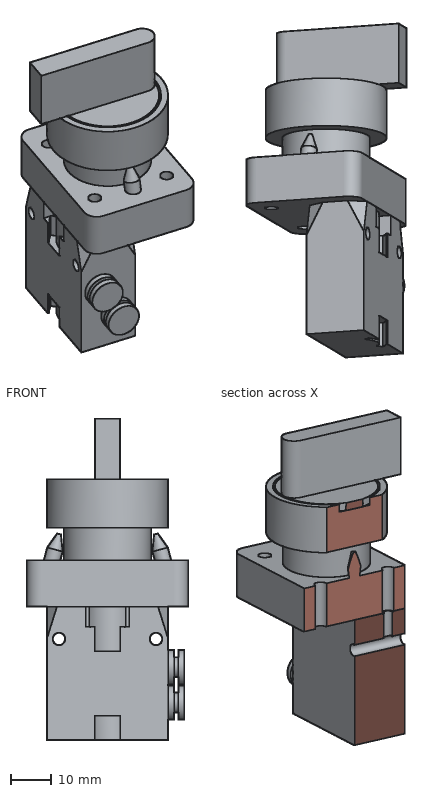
import cadquery as cq
import math

BLOCK_HEIGHT = 33.0
PLATE_THICKNESS = 11.5
NECK_HEIGHT = 8.0
CAP_HEIGHT = 12.0
HANDLE_HEIGHT = 15.0
PLATE_TOP = BLOCK_HEIGHT + PLATE_THICKNESS
CAP_BOTTOM = PLATE_TOP + NECK_HEIGHT
CAP_TOP = CAP_BOTTOM + CAP_HEIGHT

PLATE_LENGTH = 40.0
PLATE_WIDTH = 30.0
PLATE_CORNER_RADIUS = 3.5
CAP_DIAMETER = PLATE_WIDTH
NECK_DIAMETER = 21.7
MOUNT_HOLE_DIAMETER = 3.25
MOUNT_HOLE_X = 12.5
MOUNT_HOLE_Y = 10.0
RECESS_DIAMETER = 26.5
RECESS_DEPTH = 2.0

PRONG_DIAMETER = 4.0
PRONG_TIP_DIAMETER = 1.0
PRONG_TILT = 15.0
PRONG_X = 13.7
PRONG_SHANK_LENGTH = 2.7
PRONG_POINT_LENGTH = 4.0
PRONG_EMBED = 1.5

KNOB_DISC_DIAMETER = 25.5
HANDLE_WIDTH = 6.2
HANDLE_ROUND_END_Y = KNOB_DISC_DIAMETER / 2
HANDLE_SQUARE_END_Y = -20.0

BLOCK_LENGTH = 30.0
BLOCK_DEPTH = 15.0
BLOCK_CENTER_Y = -BLOCK_DEPTH / 2
CORNER_CUT_X = 2.5
CORNER_CUT_Y = 4.25
CORNER_CUT_Z = 8.0

GROOVE_INNER_RADIUS = 6.0
GROOVE_OUTER_RADIUS = 7.75
GROOVE_HALF_ANGLE = 45.0
SLOT_WIDTH = 6.2
SLOT_HEIGHT = 6.0
WINDOW_WIDTH = 10.7
WINDOW_DEPTH = 3.6
WINDOW_HEIGHT = 5.0
WINDOW_BOTTOM = BLOCK_HEIGHT - WINDOW_HEIGHT

CROSS_HOLE_DIAMETER = 3.0
CROSS_HOLE_X = 12.0
CROSS_HOLE_Z = 25.0
SCREW_HOLE_DIAMETER = 2.45
SCREW_HOLE_DEPTH = 9.0

TERMINAL_DIAMETER = 8.5
TERMINAL_CORE_DIAMETER = 5.0
TERMINAL_LENGTH = 4.0
TERMINAL_FLANGE_THICKNESS = 1.5
TERMINAL_SPREAD_Y = 4.5
TERMINAL_PITCH_Z = 8.77
TERMINAL_MIDDLE_Z = 13.66


def disc(diameter, bottom, height):
    return cq.Workplane("XY").workplane(offset=bottom).circle(diameter / 2).extrude(height)


def box(size_x, size_y, size_z, min_y, min_z):
    return (
        cq.Workplane("XY")
        .box(size_x, size_y, size_z, centered=(True, False, False))
        .translate((0, min_y, min_z))
    )


def make_prong(side):
    """Cylinder with a conical point, tilted towards the neck; side is -1 or +1 along X."""
    point_start = PRONG_SHANK_LENGTH
    point_end = point_start + PRONG_POINT_LENGTH
    profile = [
        (0, -PRONG_EMBED),
        (PRONG_DIAMETER / 2, -PRONG_EMBED),
        (PRONG_DIAMETER / 2, point_start),
        (PRONG_TIP_DIAMETER / 2, point_end),
        (0, point_end),
    ]
    prong = cq.Workplane("XZ").polyline(profile).close().revolve(360, (0, 0, 0), (0, 1, 0))
    prong = prong.rotate((0, 0, 0), (0, 1, 0), -side * PRONG_TILT)
    return prong.translate((side * PRONG_X, 0, PLATE_TOP))


def make_housing():
    plate = box(PLATE_LENGTH, PLATE_WIDTH, PLATE_THICKNESS, -PLATE_WIDTH / 2, BLOCK_HEIGHT)
    plate = plate.edges("|Z").fillet(PLATE_CORNER_RADIUS)
    plate = (
        plate.faces(">Z")
        .workplane(origin=(0, 0, PLATE_TOP))
        .rect(2 * MOUNT_HOLE_X, 2 * MOUNT_HOLE_Y, forConstruction=True)
        .vertices()
        .hole(MOUNT_HOLE_DIAMETER)
    )
    housing = plate.union(disc(NECK_DIAMETER, PLATE_TOP, NECK_HEIGHT))
    housing = housing.union(disc(CAP_DIAMETER, CAP_BOTTOM, CAP_HEIGHT))
    for side in (-1, 1):
        housing = housing.union(make_prong(side))
    return housing.cut(disc(RECESS_DIAMETER, CAP_TOP - RECESS_DEPTH, RECESS_DEPTH))


def make_knob():
    """Disc that fills the cap recess with a ring gap, carrying the handle on top."""
    radius = HANDLE_WIDTH / 2
    round_start = HANDLE_ROUND_END_Y - radius
    handle = (
        cq.Workplane("XY")
        .workplane(offset=CAP_TOP)
        .moveTo(-radius, HANDLE_SQUARE_END_Y)
        .lineTo(radius, HANDLE_SQUARE_END_Y)
        .lineTo(radius, round_start)
        .threePointArc((0, HANDLE_ROUND_END_Y), (-radius, round_start))
        .close()
        .extrude(HANDLE_HEIGHT)
    )
    return disc(KNOB_DISC_DIAMETER, CAP_TOP - RECESS_DEPTH, RECESS_DEPTH).union(handle)


def make_corner_cut(side_x, side_y):
    """Tetrahedron that bevels one top corner of the block."""
    corner_x = side_x * BLOCK_LENGTH / 2
    corner_y = BLOCK_CENTER_Y + side_y * BLOCK_DEPTH / 2
    corner = cq.Vector(corner_x, corner_y, BLOCK_HEIGHT)
    along_x = cq.Vector(corner_x - side_x * CORNER_CUT_X, corner_y, BLOCK_HEIGHT)
    along_y = cq.Vector(corner_x, corner_y - side_y * CORNER_CUT_Y, BLOCK_HEIGHT)
    below = cq.Vector(corner_x, corner_y, BLOCK_HEIGHT - CORNER_CUT_Z)
    triangles = [
        (corner, along_x, along_y),
        (corner, along_x, below),
        (corner, along_y, below),
        (along_x, along_y, below),
    ]
    faces = [cq.Face.makeFromWires(cq.Wire.makePolygon(list(t), close=True)) for t in triangles]
    return cq.Workplane(cq.Solid.makeSolid(cq.Shell.makeShell(faces)))


def make_groove(bottom, height):
    """Sector of a ring groove, centred on the block axis and facing -Y."""
    reach = 2 * GROOVE_OUTER_RADIUS
    half_width = reach * math.tan(math.radians(GROOVE_HALF_ANGLE))
    sector = (
        cq.Workplane("XY")
        .workplane(offset=bottom)
        .polyline([(0, 0), (-half_width, -reach), (half_width, -reach)])
        .close()
        .extrude(height)
    )
    ring = disc(2 * GROOVE_OUTER_RADIUS, bottom, height)
    return ring.intersect(sector).translate((0, BLOCK_CENTER_Y, 0))


def make_slots():
    """Slots in the -Y face: a narrow one at each end, the upper one under a wider window."""
    slots = box(WINDOW_WIDTH, WINDOW_DEPTH, WINDOW_HEIGHT, -BLOCK_DEPTH, WINDOW_BOTTOM)
    slot_depth = GROOVE_OUTER_RADIUS - GROOVE_INNER_RADIUS * math.cos(math.radians(GROOVE_HALF_ANGLE))
    for bottom in (0, WINDOW_BOTTOM - SLOT_HEIGHT):
        slots = slots.union(box(SLOT_WIDTH, slot_depth, SLOT_HEIGHT, -BLOCK_DEPTH, bottom))
        slots = slots.union(make_groove(bottom, SLOT_HEIGHT))
    column = disc(2 * GROOVE_INNER_RADIUS, 0, BLOCK_HEIGHT).translate((0, BLOCK_CENTER_Y, 0))
    return slots.cut(column)


def make_screw_holes(side):
    """Hole through the block along Y and the blind hole that drops into it from above."""
    cross_hole = (
        cq.Workplane("XZ")
        .center(side * CROSS_HOLE_X, CROSS_HOLE_Z)
        .circle(CROSS_HOLE_DIAMETER / 2)
        .extrude(BLOCK_DEPTH)
    )
    screw_hole = disc(SCREW_HOLE_DIAMETER, BLOCK_HEIGHT - SCREW_HOLE_DEPTH, SCREW_HOLE_DEPTH)
    return cross_hole.union(screw_hole.translate((side * MOUNT_HOLE_X, -MOUNT_HOLE_Y, 0)))


def make_terminal(center_y, center_z):
    second_flange = TERMINAL_LENGTH - TERMINAL_FLANGE_THICKNESS
    terminal = disc(TERMINAL_CORE_DIAMETER, 0, TERMINAL_LENGTH)
    for start in (0, second_flange):
        terminal = terminal.union(disc(TERMINAL_DIAMETER, start, TERMINAL_FLANGE_THICKNESS))
    terminal = terminal.rotate((0, 0, 0), (0, 1, 0), 90)
    return terminal.translate((BLOCK_LENGTH / 2, center_y, center_z))


def make_contact_block():
    block = box(BLOCK_LENGTH, BLOCK_DEPTH, BLOCK_HEIGHT, -BLOCK_DEPTH, 0)
    block = block.cut(make_slots())
    for side_x in (-1, 1):
        block = block.cut(make_screw_holes(side_x))
        for side_y in (-1, 1):
            block = block.cut(make_corner_cut(side_x, side_y))
    for level in (-1, 1):
        center_y = BLOCK_CENTER_Y - level * TERMINAL_SPREAD_Y / 2
        center_z = TERMINAL_MIDDLE_Z + level * TERMINAL_PITCH_Z / 2
        block = block.union(make_terminal(center_y, center_z))
    return block


housing = make_housing()
knob = make_knob()
contact_block = make_contact_block()

result = cq.Compound.makeCompound([housing.val(), knob.val(), contact_block.val()])